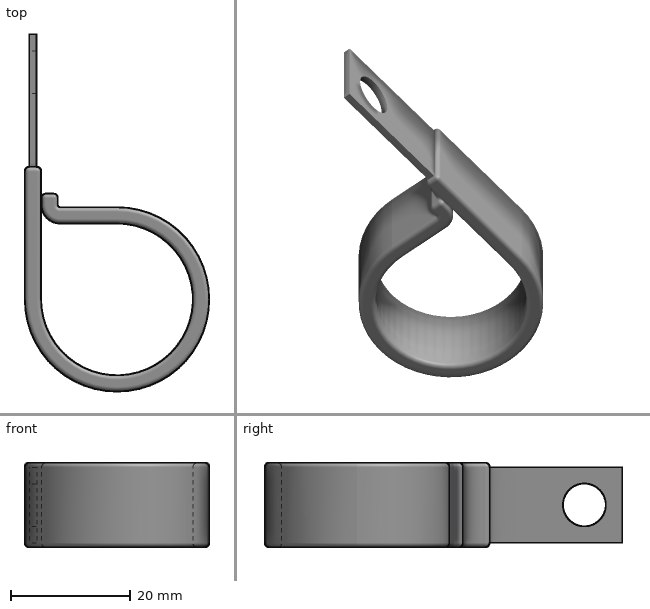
import cadquery as cq
import math


strap_thickness = 1.25
strap_width = 12.7
strap_end_y = 44.45

cushion_wall = 0.76
band_thickness = strap_thickness + 2 * cushion_wall
band_width = strap_width + 2 * cushion_wall
cushion_end_y = 22.225

inner_radius = 12.7
outer_radius = inner_radius + band_thickness

hook_center_x = -9.525
hook_clearance = 0.025
hook_outer_radius = inner_radius + hook_center_x - hook_clearance
hook_inner_radius = hook_outer_radius - band_thickness
hook_center_y = inner_radius + hook_outer_radius
hook_end_x = hook_center_x - (hook_inner_radius + hook_outer_radius) / 2
hook_end_y = 17.75

hole_diameter = 7.137
hole_edge_distance = 6.35

DIAGONAL = math.sqrt(0.5)


def hook_point(radius):
    """Middle point of the quarter bend that has the given radius."""
    return (hook_center_x - radius * DIAGONAL, hook_center_y - radius * DIAGONAL)


def loop_point(radius):
    """Middle point of the last quarter of the loop that has the given radius."""
    return (radius * DIAGONAL, radius * DIAGONAL)


def make_cushion():
    """Straight leg, loop and hook in one band, with every edge rounded."""
    outline = (
        cq.Workplane("XY", origin=(0, 0, -band_width / 2))
        .moveTo(-outer_radius, cushion_end_y)
        .lineTo(-outer_radius, 0)
        .threePointArc((0, -outer_radius), (outer_radius, 0))
        .threePointArc(loop_point(outer_radius), (0, outer_radius))
        .lineTo(hook_center_x, outer_radius)
        .threePointArc(
            hook_point(hook_inner_radius),
            (hook_center_x - hook_inner_radius, hook_center_y),
        )
        .lineTo(hook_center_x - hook_inner_radius, hook_end_y)
        .lineTo(hook_center_x - hook_outer_radius, hook_end_y)
        .lineTo(hook_center_x - hook_outer_radius, hook_center_y)
        .threePointArc(hook_point(hook_outer_radius), (hook_center_x, inner_radius))
        .lineTo(0, inner_radius)
        .threePointArc(loop_point(inner_radius), (inner_radius, 0))
        .threePointArc((0, -inner_radius), (-inner_radius, 0))
        .lineTo(-inner_radius, cushion_end_y)
        .close()
    )
    band = outline.extrude(band_width, clean=False)
    leg_end_edges = band.faces(">Y").edges()
    hook_end_edges = band.faces(cq.selectors.NearestToPointSelector((hook_end_x, hook_end_y, 0))).edges()
    rim_edges = band.faces("<Z or >Z").edges()
    return leg_end_edges.add(hook_end_edges).add(rim_edges).fillet(cushion_wall)


def make_tab():
    """Bare strap with its mounting hole, starting at the rounded end of the cushion."""
    tab_start_y = cushion_end_y - cushion_wall
    hole_y = strap_end_y - hole_edge_distance
    tab = cq.Workplane("XY").box(
        strap_thickness, strap_end_y - tab_start_y, strap_width, centered=(True, False, True)
    )
    tab = tab.translate((-outer_radius + band_thickness / 2, tab_start_y, 0))
    hole = (
        cq.Workplane("YZ", origin=(-outer_radius, hole_y, 0))
        .circle(hole_diameter / 2)
        .extrude(band_thickness)
    )
    return tab.cut(hole)


result = make_cushion().union(make_tab(), clean=False)